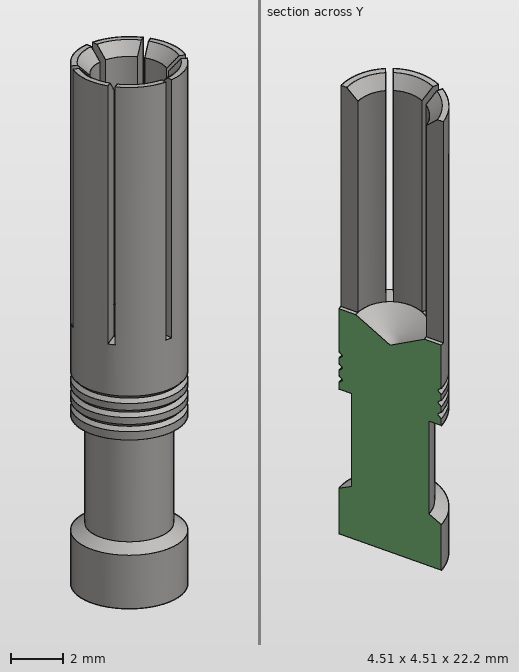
import cadquery as cq
import math

total_height = 22.2
outer_radius = 2.253

foot_height = 2.29
neck_radius = 1.7
foot_cone_height = 0.3
collar_bottom = 7.2

groove_count = 3
first_groove_bottom = 7.55
groove_pitch = 0.6
groove_width = 0.3
groove_depth = 0.15

bore_radius = 1.5
mouth_radius = 2.0
mouth_depth = 0.49
bore_bottom = 11.2
drill_point_angle = 118.0

slot_bottom = 11.2
slot_width = 0.29
slot_count = 6


def revolve_profile(points):
    """Revolve a closed (radius, height) outline about the Z axis."""
    outline = cq.Workplane("XZ").polyline(points).close()
    return outline.revolve(360, (0, 0, 0), (0, 1, 0))


def make_body():
    points = [
        (0, 0),
        (outer_radius, 0),
        (outer_radius, foot_height),
        (neck_radius, foot_height + foot_cone_height),
        (neck_radius, collar_bottom),
        (outer_radius, collar_bottom),
    ]
    for index in range(groove_count):
        bottom = first_groove_bottom + index * groove_pitch
        points += [
            (outer_radius, bottom),
            (outer_radius - groove_depth, bottom + groove_width / 2),
            (outer_radius, bottom + groove_width),
        ]
    points += [(outer_radius, total_height), (0, total_height)]
    return revolve_profile(points)


def make_socket():
    point_height = bore_radius / math.tan(math.radians(drill_point_angle / 2))
    return revolve_profile([
        (0, bore_bottom - point_height),
        (bore_radius, bore_bottom),
        (bore_radius, total_height - mouth_depth),
        (mouth_radius, total_height),
        (0, total_height),
    ])


def make_slot(angle):
    """Radial slot through the wall on one side, open at the top."""
    slot_height = total_height - slot_bottom
    slot = cq.Workplane("XY").workplane(offset=slot_bottom)
    slot_length = 2 * outer_radius
    slot = slot.center(slot_length / 2, 0).rect(slot_length, slot_width).extrude(slot_height)
    return slot.rotate((0, 0, 0), (0, 0, 1), angle)


result = make_body().cut(make_socket())
for index in range(slot_count):
    result = result.cut(make_slot(index * 360 / slot_count))